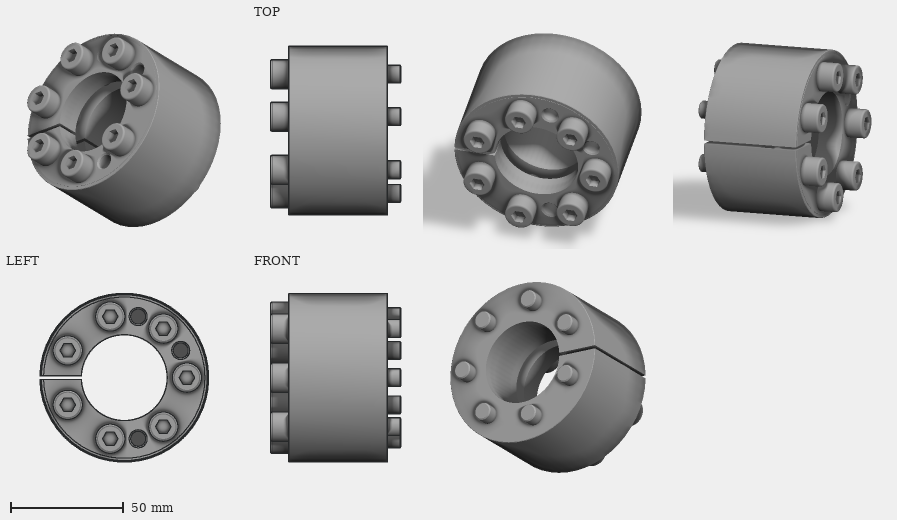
import cadquery as cq
import math


overall_length = 58.0
outer_diameter = 75.0
bore_diameter = 38.0

outer_bore_diameter = 71.6
outer_edge_chamfer = 0.2
mouth_diameter = 73.65
mouth_depth = 0.15

front_ring_length = 11.0
rear_ring_start = 17.6
slit_width = 1.5

screw_count = 7
bolt_circle_radius = 27.8
screw_diameter = 8.0
screw_clearance_diameter = 8.4
screw_overhang = 6.0
screw_tip_chamfer = 0.5
head_diameter = 13.0
head_height = 8.0
head_fillet = 0.8
hex_across_flats = 6.0
hex_depth = 4.0

release_hole_diameter = 6.7
release_mouth_diameter = 8.0
release_hole_steps = (0.5, 1.5, -1.5)

ring_length = overall_length - head_height - screw_overhang
screw_tip = ring_length + screw_overhang
screw_pitch = 360.0 / screw_count
hex_across_corners = hex_across_flats / math.cos(math.radians(30))
release_mouth_depth = (release_mouth_diameter - release_hole_diameter) / 2


def cylinder(diameter, start, end, y=0.0, z=0.0):
    """Solid cylinder along X between two X positions."""
    return (
        cq.Workplane("YZ", origin=(start, y, z))
        .circle(diameter / 2)
        .extrude(end - start)
    )


def bolt_circle_point(step):
    """(Y, Z) on the bolt circle, counted in screw pitches from -Y towards +Z."""
    angle = math.radians(step * screw_pitch)
    return -bolt_circle_radius * math.cos(angle), bolt_circle_radius * math.sin(angle)


def cut_slit(ring):
    """Split a ring through its wall on the +Y side."""
    slit = cq.Workplane("XY").box(
        ring_length, outer_diameter, slit_width, centered=(False, False, True)
    )
    return ring.cut(slit)


def make_outer_ring():
    """Slit sleeve with chamfered rims and a shallow recess around its front mouth."""
    ring = cylinder(outer_diameter, 0, ring_length).edges().chamfer(outer_edge_chamfer)
    ring = ring.cut(cylinder(outer_bore_diameter, 0, ring_length))
    ring = ring.cut(cylinder(mouth_diameter, 0, mouth_depth))
    return cut_slit(ring)


def make_clamping_ring(start, end, screw_hole_diameter):
    """Slit ring that fills the outer ring's bore and carries the screw holes."""
    ring = cylinder(outer_bore_diameter, start, end).cut(cylinder(bore_diameter, start, end))
    for step in range(screw_count):
        y, z = bolt_circle_point(step)
        ring = ring.cut(cylinder(screw_hole_diameter, start, end, y, z))
    return cut_slit(ring)


def cut_release_holes(ring):
    """Cut the countersunk through holes of the front ring."""
    for step in release_hole_steps:
        y, z = bolt_circle_point(step)
        hole = cylinder(release_hole_diameter, 0, front_ring_length, y, z)
        countersink = cq.Solid.makeCone(
            release_mouth_diameter / 2,
            release_hole_diameter / 2,
            release_mouth_depth,
            pnt=cq.Vector(0, y, z),
            dir=cq.Vector(1, 0, 0),
        )
        ring = ring.cut(hole.union(countersink))
    return ring


def make_screw(step):
    """Socket head cap screw with its head resting on the front face."""
    y, z = bolt_circle_point(step)
    shank = cylinder(screw_diameter, 0, screw_tip, y, z).faces(">X").chamfer(screw_tip_chamfer)
    head = cylinder(head_diameter, -head_height, 0, y, z).faces("<X").edges().fillet(head_fillet)
    socket = (
        cq.Workplane("YZ", origin=(-head_height, y, z))
        .polygon(6, hex_across_corners)
        .extrude(hex_depth)
    )
    return head.union(shank).cut(socket)


outer_ring = make_outer_ring()
front_ring = cut_release_holes(make_clamping_ring(0, front_ring_length, screw_clearance_diameter))
rear_ring = make_clamping_ring(rear_ring_start, ring_length, screw_diameter)
screws = [make_screw(step) for step in range(screw_count)]

result = cq.Compound.makeCompound(
    [outer_ring.val(), front_ring.val(), rear_ring.val(), *[screw.val() for screw in screws]]
)